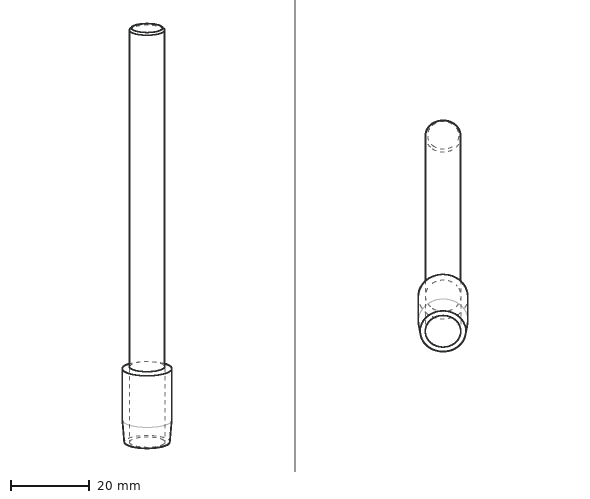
import cadquery as cq

total_height = 110.0
shaft_radius = 4.5
tip_chamfer_height = 0.5
tip_chamfer_width = 0.5
sleeve_radius = 6.32
sleeve_height = 20.0
shoulder_drop = 0.5
foot_radius = 5.8
foot_height = 5.8


def make_shaft():
    """Full-length round rod with a small chamfer at its upper end."""
    rod = cq.Workplane("XY").circle(shaft_radius).extrude(total_height)
    return rod.faces(">Z").chamfer(tip_chamfer_height, tip_chamfer_width)


def make_sleeve():
    """Collar around the shaft, with a conical shoulder and a tapered foot."""
    return (
        cq.Workplane("XZ")
        .moveTo(shaft_radius, 0)
        .lineTo(foot_radius, 0)
        .lineTo(sleeve_radius, foot_height)
        .lineTo(sleeve_radius, sleeve_height - shoulder_drop)
        .lineTo(shaft_radius, sleeve_height)
        .close()
        .revolve(360, (0, 0, 0), (0, 1, 0))
    )


shaft = make_shaft()
sleeve = make_sleeve()

result = cq.Compound.makeCompound([shaft.val(), sleeve.val()])